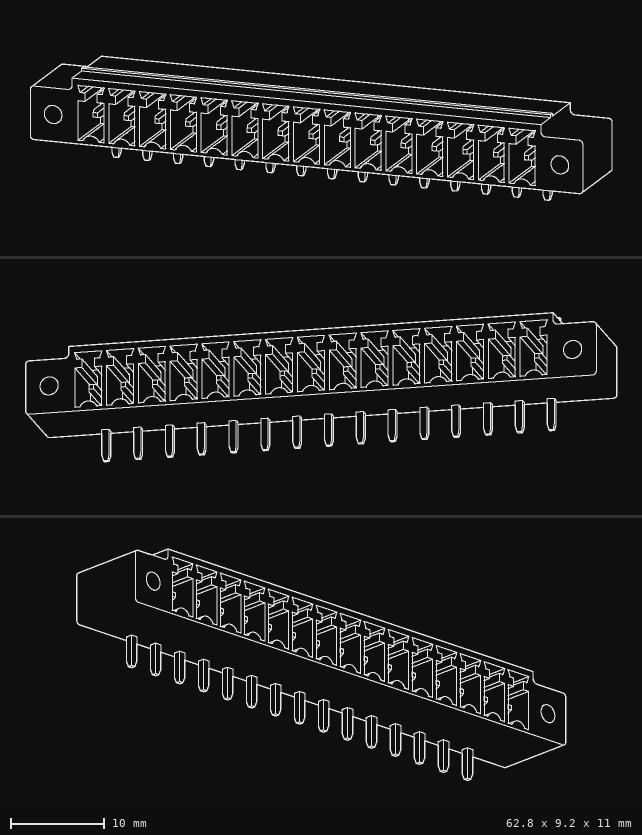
import cadquery as cq

LENGTH = 62.8
DEPTH = 9.2
FRONT = -DEPTH / 2
BACK = DEPTH / 2
SHROUD_HEIGHT = 7.25
FLANGE_HEIGHT = 5.95
FLANGE_LENGTH = 4.75
FLANGE_EDGE_RADIUS = 0.4
STEP_RADIUS = 0.5

RIB_HEIGHT = 0.3
RIB_WIDTH = 0.6
RIB_SETBACK = 3.0

POLE_COUNT = 15
PITCH = 3.5
POLE_POSITIONS = [(i - (POLE_COUNT - 1) / 2) * PITCH for i in range(POLE_COUNT)]

SOCKET_DEPTH = 7.0
CHAMBER_WIDTH = 2.95
CHAMBER_FLOOR = 0.42
CHAMBER_TOP = 4.8
NECK_WIDTH = 1.4
NECK_TOP = 5.75
KEYWAY_BASE_WIDTH = 2.5
KEYWAY_WIDTH = 3.0
KEYWAY_TOP = 6.5

HUMP_WIDTH = 1.85
HUMP_HEIGHT = 0.6

PIN_SIZE = 0.8
PIN_AXIS_HEIGHT = 3.0
PIN_LEG_LENGTH = 3.4
PIN_LEG_Y = BACK - 1.2
PIN_TIP_SETBACK = 1.4
PIN_TIP_SIZE = 0.5
PIN_TIP_LENGTH = 0.6

INSERT_DIAMETER = 4.0
INSERT_DEPTH = 7.0
INSERT_EDGE_DISTANCE = 2.6
INSERT_AXIS_HEIGHT = PIN_AXIS_HEIGHT
SCREW_HOLE_DIAMETER = 2.0


def make_housing():
    """Flanged block with a raised shroud, rounded outer edges and filleted steps."""
    shroud_length = LENGTH - 2 * FLANGE_LENGTH
    flanges = (
        cq.Workplane("XY")
        .box(LENGTH, DEPTH, FLANGE_HEIGHT, centered=(True, True, False))
        .edges("|Y")
        .fillet(FLANGE_EDGE_RADIUS)
    )
    shroud = cq.Workplane("XY").box(shroud_length, DEPTH, SHROUD_HEIGHT, centered=(True, True, False))
    housing = flanges.union(shroud)
    for side in (-1, 1):
        step_corner = cq.NearestToPointSelector((side * shroud_length / 2, 0, FLANGE_HEIGHT))
        housing = housing.edges("|Y").edges(step_corner).fillet(STEP_RADIUS)
    rib = (
        cq.Workplane("XY", origin=(0, FRONT + RIB_SETBACK + RIB_WIDTH / 2, SHROUD_HEIGHT))
        .box(shroud_length, RIB_WIDTH, RIB_HEIGHT, centered=(True, True, False))
    )
    return housing.union(rib)


def make_socket():
    """Cavity of one pole, centred on X = 0 and open at the front."""
    right_side = [
        (HUMP_WIDTH / 2, CHAMBER_FLOOR),
        (CHAMBER_WIDTH / 2, CHAMBER_FLOOR),
        (CHAMBER_WIDTH / 2, CHAMBER_TOP),
        (NECK_WIDTH / 2, CHAMBER_TOP),
        (NECK_WIDTH / 2, NECK_TOP),
        (KEYWAY_BASE_WIDTH / 2, NECK_TOP),
        (KEYWAY_WIDTH / 2, KEYWAY_TOP),
    ]
    left_side = [(-x, z) for x, z in reversed(right_side)]
    return (
        cq.Workplane("XZ", origin=(0, FRONT, 0))
        .polyline(right_side + left_side)
        .threePointArc((0, CHAMBER_FLOOR + HUMP_HEIGHT), right_side[0])
        .close()
        .extrude(-SOCKET_DEPTH)
    )


def make_pin_bar(workplane, length):
    """Square bar along the workplane normal, tapered at its far end."""
    return (
        workplane.rect(PIN_SIZE, PIN_SIZE)
        .extrude(length - PIN_TIP_LENGTH)
        .faces(cq.DirectionMinMaxSelector(workplane.plane.zDir, True))
        .workplane()
        .rect(PIN_SIZE, PIN_SIZE)
        .workplane(offset=PIN_TIP_LENGTH)
        .rect(PIN_TIP_SIZE, PIN_TIP_SIZE)
        .loft()
    )


def make_pin():
    """Contact with one arm pointing to the front and one leg pointing down."""
    half = PIN_SIZE / 2
    arm_start = cq.Workplane("XZ", origin=(0, PIN_LEG_Y + half, PIN_AXIS_HEIGHT))
    arm = make_pin_bar(arm_start, PIN_LEG_Y + half - FRONT - PIN_TIP_SETBACK)
    leg_top = PIN_AXIS_HEIGHT + half
    leg_start = cq.Workplane("XY", origin=(0, PIN_LEG_Y, leg_top)).transformed(rotate=(180, 0, 0))
    leg = make_pin_bar(leg_start, leg_top + PIN_LEG_LENGTH)
    return arm.union(leg)


def make_flange_cylinder(diameter):
    """Matching blind cylinders, one in each flange, entering from the front face."""
    axis_x = LENGTH / 2 - INSERT_EDGE_DISTANCE
    return (
        cq.Workplane("XZ", origin=(0, FRONT, INSERT_AXIS_HEIGHT))
        .pushPoints([(-axis_x, 0), (axis_x, 0)])
        .circle(diameter / 2)
        .extrude(-INSERT_DEPTH)
    )


result = make_housing()
socket = make_socket()
pin = make_pin()
for pole_x in POLE_POSITIONS:
    result = result.cut(socket.translate((pole_x, 0, 0)))
    result = result.union(pin.translate((pole_x, 0, 0)))

insert_body = make_flange_cylinder(INSERT_DIAMETER)
insert_sleeve = insert_body.cut(make_flange_cylinder(SCREW_HOLE_DIAMETER))
result = result.cut(insert_body).union(insert_sleeve, clean=False)